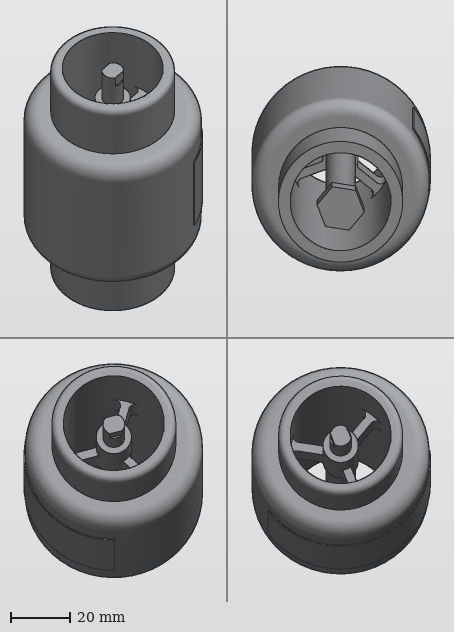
import cadquery as cq
import math

overall_height = 104.5
drum_radius = 30.0
drum_height = 55.0
drum_fillet = 5.0
tube_radius = 21.0
tube_length = 20.0
rim_fillet = 2.0
bore_radius = 17.0
housing_top = overall_height
housing_bottom = housing_top - drum_height - 2 * tube_length
drum_bottom = housing_bottom + tube_length
drum_middle = drum_bottom + drum_height / 2

spoke_count = 3
spoke_width = 3.0
spoke_outer_fillet = 2.0
spoke_inner_fillet = 1.0
spider_height = 10.0
hub_radius = 6.0
hub_rise = 10.0
hub_depth = 14.0
hub_top = housing_top - hub_depth
spider_top = hub_top - hub_rise
spider_bottom = spider_top - spider_height

head_height = 6.3
head_across_flats = 14.0
shank_radius = 5.0
tip_radius = 3.7
tip_drop = 1.0
tip_across_flats = 6.0
tip_flat_height = 4.0
tip_top = housing_top - tip_drop

label_thickness = 0.4
label_height = 30.0
label_edge_y = 7.9
label_bottom = drum_middle - label_height / 2


def cylinder(radius, bottom, top):
    return cq.Workplane("XY").workplane(offset=bottom).circle(radius).extrude(top - bottom)


def make_spider():
    """Hub and spokes, with rounded corners where the spokes meet hub and bore wall."""
    spider = cylinder(tube_radius, spider_bottom, spider_top)
    spider = spider.cut(cylinder(bore_radius, spider_bottom, spider_top))
    spider = spider.union(cylinder(hub_radius, spider_bottom, spider_top))
    spoke_start = hub_radius / 2
    spoke_end = (bore_radius + tube_radius) / 2
    for index in range(spoke_count):
        spoke = (
            cq.Workplane("XY")
            .workplane(offset=spider_bottom)
            .center(0, (spoke_start + spoke_end) / 2)
            .rect(spoke_width, spoke_end - spoke_start)
            .extrude(spider_height)
            .rotate((0, 0, 0), (0, 0, 1), index * 360 / spoke_count)
        )
        spider = spider.union(spoke)

    def corner_edges(radius):
        corner_y = math.sqrt(radius**2 - (spoke_width / 2) ** 2)
        angle_off_spoke = math.degrees(math.atan2(spoke_width / 2, corner_y))
        middle_z = (spider_bottom + spider_top) / 2
        points = []
        for index in range(spoke_count):
            for side in (-1, 1):
                angle = math.radians(90 + index * 360 / spoke_count + side * angle_off_spoke)
                points.append(cq.Vector(radius * math.cos(angle), radius * math.sin(angle), middle_z))
        return spider.edges("|Z").filter(
            lambda edge: any((edge.Center() - point).Length < spoke_width / 10 for point in points)
        )

    spider = corner_edges(bore_radius).fillet(spoke_outer_fillet)
    spider = corner_edges(hub_radius).fillet(spoke_inner_fillet)
    return spider.union(cylinder(hub_radius, spider_bottom, hub_top))


def make_housing():
    drum = cylinder(drum_radius, drum_bottom, drum_bottom + drum_height)
    drum = drum.edges().fillet(drum_fillet)
    tube = cylinder(tube_radius, housing_bottom, housing_top).edges(">Z").fillet(rim_fillet)
    shell = drum.union(tube).cut(cylinder(bore_radius, housing_bottom, housing_top))
    stem_hole = cylinder(tip_radius, spider_bottom, hub_top)
    return shell.union(make_spider()).cut(stem_hole)


def make_stem():
    head_across_corners = head_across_flats / math.cos(math.pi / 6)
    head = cq.Workplane("XY").polygon(6, head_across_corners).extrude(head_height)
    shank = cylinder(shank_radius, head_height, spider_bottom)
    tip = cylinder(tip_radius, spider_bottom, tip_top - tip_flat_height)
    flatted_end = cylinder(tip_radius, tip_top - tip_flat_height, tip_top).intersect(
        cq.Workplane("XY").box(tip_across_flats, 2 * tip_radius, 2 * tip_top)
    )
    return head.union(shank).union(tip).union(flatted_end)


def make_label():
    outer_radius = drum_radius + label_thickness
    edge_angle = math.asin(label_edge_y / outer_radius)

    def edge_point(radius, side):
        return (side * radius * math.cos(edge_angle), radius * math.sin(edge_angle))

    return (
        cq.Workplane("XY")
        .workplane(offset=label_bottom)
        .moveTo(*edge_point(drum_radius, -1))
        .lineTo(*edge_point(outer_radius, -1))
        .threePointArc((0, outer_radius), edge_point(outer_radius, 1))
        .lineTo(*edge_point(drum_radius, 1))
        .threePointArc((0, drum_radius), edge_point(drum_radius, -1))
        .close()
        .extrude(label_height)
    )


housing = make_housing()
stem = make_stem()
label = make_label()

result = cq.Compound.makeCompound([housing.val(), stem.val(), label.val()])